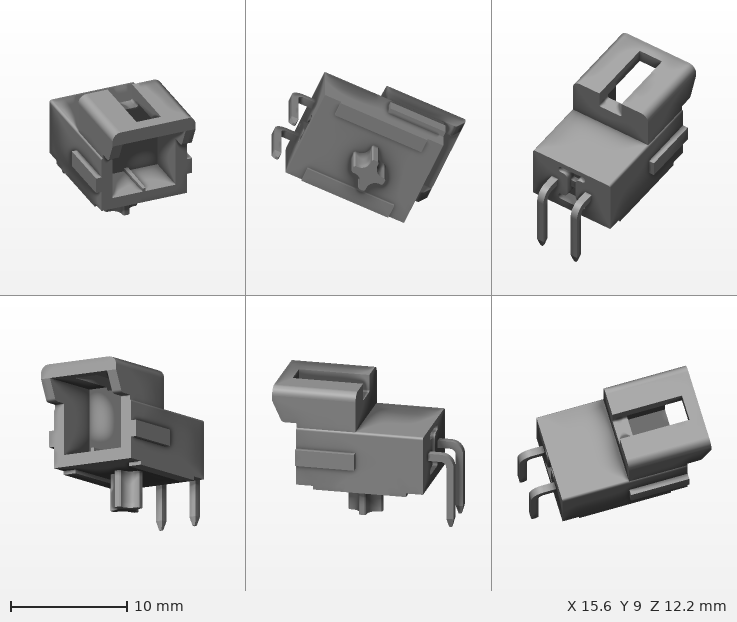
import cadquery as cq

OVERLAP = 0.08

body_back = 2.25
body_front = 13.47
body_height = 5.19
body_width = 8.0
body_edge_radius = 0.22

latch_back = 8.24
latch_front = 15.63
latch_top = 8.66
latch_width = 7.78
latch_edge_radius = 0.75
latch_underside = 5.56
latch_roof = 1.22
nose_bottom_x = 14.75
nose_radius = 0.4
overhang_root_radius = 0.08

cavity_back = 9.55
cavity_width = 5.91
cavity_floor = (body_width - cavity_width) / 2
key_height = 0.31
key_root_width = 0.39
key_end_width = 0.28

window_width = 2.3
window_front = 14.47
window_sill = 7.11
sill_corner_radius = 0.19

rail_bottom = 1.88
rail_top = 3.31
rail_span = 9.0

foot_back = 3.75
foot_front = 11.97
foot_width = 1.23
foot_height = 0.33

peg_x = 8.24
peg_reach = 1.5
peg_arm_width = 0.65
peg_corner_radius = 0.85
peg_tip_chamfer = 0.13
peg_height = 3.2

recess_depth = 1.0
web_depth = 0.5
flange_width = 2.75
flange_height = 0.61
flange_end_radius = 0.3
recess_bottom = 0.83
recess_top = 4.67
web_width = 0.83
web_root_radius = 0.5
web_bottom = 2.38
web_top = 3.13
web_corner_radius = 0.19

pin_thickness = 0.65
pin_pitch = 3.47
pin_top = 3.08
pin_bend_radius = 1.15
pin_taper_top = -2.72
pin_tip = -3.5
pin_tip_width = 0.25


def box(x_range, y_range, z_range):
    """Box between the given limits on each axis."""
    size = [high - low for low, high in (x_range, y_range, z_range)]
    corner = (x_range[0], y_range[0], z_range[0])
    return cq.Workplane("XY").box(*size, centered=False).translate(corner)


def centred_box(x_range, width, z_range):
    """Box placed symmetrically about Y = 0."""
    return box(x_range, (-width / 2, width / 2), z_range)


def make_body():
    block = centred_box((body_back, body_front), body_width, (0, body_height))
    return block.edges("|X and >Z").fillet(body_edge_radius)


def make_latch():
    base = body_height - body_edge_radius
    profile = (
        cq.Workplane("XZ", origin=(0, latch_width / 2, 0))
        .moveTo(latch_back, base)
        .lineTo(latch_back, latch_top)
        .lineTo(latch_front, latch_top)
        .lineTo(latch_front, latch_top - latch_roof)
        .lineTo(nose_bottom_x, latch_underside)
        .lineTo(body_front, latch_underside)
        .lineTo(body_front, base)
        .close()
        .extrude(latch_width)
    )
    latch = profile.edges("|X and >Z").fillet(latch_edge_radius)
    nose_edge = cq.selectors.NearestToPointSelector((nose_bottom_x, 0, latch_underside))
    latch = latch.edges("|Y").edges(nose_edge).fillet(nose_radius)
    root_edge = cq.selectors.NearestToPointSelector((body_front, 0, latch_underside))
    return latch.edges("|Y").edges(root_edge).fillet(overhang_root_radius)


def make_rails():
    return centred_box((latch_back, body_front), rail_span, (rail_bottom, rail_top))


def make_feet():
    x_range = (foot_back, foot_front)
    z_range = (-foot_height, OVERLAP)
    outer = body_width / 2
    inner = outer - foot_width
    return box(x_range, (inner, outer), z_range).union(box(x_range, (-outer, -inner), z_range))


def make_peg():
    z_range = (-peg_height, OVERLAP)
    half_arm = peg_arm_width / 2
    along_x = centred_box((-peg_reach, peg_reach), peg_arm_width, z_range)
    along_y = centred_box((-half_arm, half_arm), 2 * peg_reach, z_range)
    along_x = along_x.edges("|Z").chamfer(peg_tip_chamfer)
    along_y = along_y.edges("|Z").chamfer(peg_tip_chamfer)
    inside = cq.selectors.BoxSelector((-peg_arm_width, -peg_arm_width, -peg_height),
                                      (peg_arm_width, peg_arm_width, peg_height))
    cross = along_x.union(along_y).edges("|Z").edges(inside).fillet(peg_corner_radius)
    return cross.translate((peg_x, 0, 0))


def make_pin():
    """Pin leaving the back face, bent down and ending in a tapered tip."""
    leg_centre = pin_thickness / 2
    bar_z = pin_top - leg_centre
    centre_radius = pin_bend_radius - leg_centre
    path = (
        cq.Workplane("XZ")
        .moveTo(body_back + OVERLAP, bar_z)
        .lineTo(pin_bend_radius, bar_z)
        .radiusArc((leg_centre, pin_top - pin_bend_radius), -centre_radius)
        .lineTo(leg_centre, pin_taper_top)
    )
    section = cq.Workplane("YZ", origin=(body_back + OVERLAP, 0, bar_z)).rect(pin_thickness, pin_thickness)
    bar = section.sweep(path)
    tip = (
        cq.Workplane("XY", origin=(leg_centre, 0, pin_taper_top))
        .rect(pin_thickness, pin_thickness)
        .workplane(offset=pin_tip - pin_taper_top)
        .rect(pin_tip_width, pin_tip_width)
        .loft()
    )
    return bar.union(tip)


def make_cavity():
    """Front opening, with a tapered key left standing on its floor."""
    opening = centred_box(
        (cavity_back, latch_front + OVERLAP), cavity_width, (cavity_floor, latch_top - latch_roof)
    )
    key = (
        cq.Workplane("XY", origin=(0, 0, cavity_floor))
        .moveTo(cavity_back, -key_root_width / 2)
        .lineTo(body_front, -key_end_width / 2)
        .lineTo(body_front, key_end_width / 2)
        .lineTo(cavity_back, key_root_width / 2)
        .close()
        .extrude(key_height)
    )
    return opening.cut(key)


def make_window():
    window = centred_box(
        (latch_back - OVERLAP, window_front), window_width, (window_sill, latch_top + OVERLAP)
    )
    return window.edges("|X and <Z").fillet(sill_corner_radius)


def make_tee(flange_bottom, web_range, web_end):
    """Deep T of the back recess: a rounded flange with a web toward the middle of the I."""
    x_range = (body_back, body_back + recess_depth)
    flange = centred_box(x_range, flange_width, (flange_bottom, flange_bottom + flange_height))
    flange = flange.edges("|X").fillet(flange_end_radius)
    web = centred_box(x_range, web_width, web_range).edges("|X and " + web_end).fillet(web_corner_radius)
    tee = flange.union(web)
    roots = cq.selectors.BoxSelector(
        (body_back, -web_width, web_range[0] + web_corner_radius + OVERLAP),
        (body_back + recess_depth, web_width, web_range[1] - web_corner_radius - OVERLAP),
    )
    return tee.edges("|X").edges(roots).fillet(web_root_radius)


def make_back_recess():
    upper_flange_bottom = recess_top - flange_height
    flange_middle = flange_height / 2
    upper = make_tee(upper_flange_bottom, (web_top, recess_top), "<Z")
    lower = make_tee(recess_bottom, (recess_bottom, web_bottom), ">Z")
    web = centred_box(
        (body_back, body_back + web_depth),
        web_width,
        (recess_bottom + flange_middle, recess_top - flange_middle),
    )
    return upper.union(lower).union(web)


result = make_body()
for piece in (make_latch(), make_rails(), make_feet(), make_peg()):
    result = result.union(piece)
for opening in (make_cavity(), make_window(), make_back_recess()):
    result = result.cut(opening)
for side in (-1, 1):
    result = result.union(make_pin().translate((0, side * pin_pitch / 2, 0)))